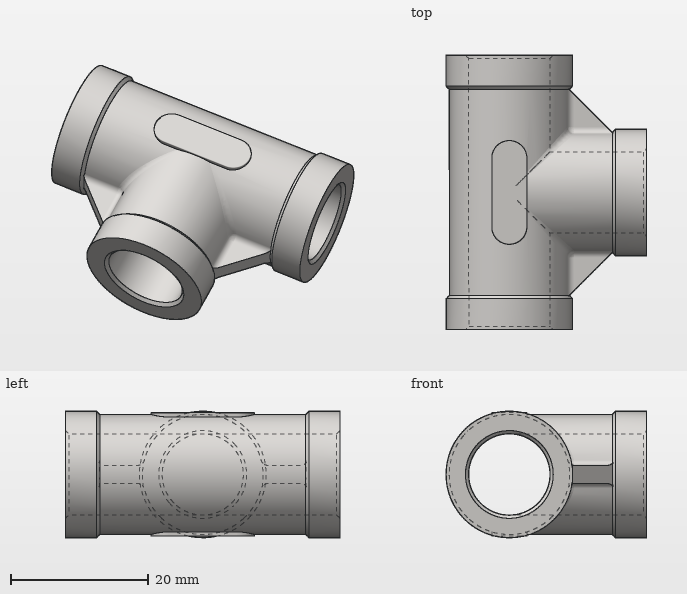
import cadquery as cq

half_length = 20.0
body_radius = 8.75
collar_radius = 9.25
collar_length = 5.0
bore_radius = 5.9
bore_chamfer = 0.5
web_thickness = 2.65
blend_radius = 1.0
plate_width = 5.1
plate_length = 15.1
plate_top = 9.0
plate_edge_radius = 0.1

shoulder = collar_radius - body_radius
collar_start = half_length - collar_length
web_reach = body_radius + collar_start

slice_margin = 0.05

ARM_ANGLES = (0, 90, -90)
CENTRE = (0, 0, 0)
Z_AXIS = (0, 0, 1)


def on_every_arm(shape):
    """Join copies of a shape modelled along +X, one for each arm of the tee."""
    joined = cq.Workplane("XY")
    for angle in ARM_ANGLES:
        joined = joined.union(shape.rotate(CENTRE, Z_AXIS, angle))
    return joined


def make_webs():
    """Flat webs filling both corners between run and branch, still untrimmed."""
    return cq.Workplane("XY").box(
        half_length, 2 * half_length, web_thickness, centered=(False, True, True)
    )


def make_label_plates():
    """Rounded-end plates standing slightly proud on the top and bottom of the run."""
    plates = cq.Workplane("XY").slot2D(plate_length, plate_width, 90).extrude(plate_top, both=True)
    return plates.faces("<Z or >Z").edges().fillet(plate_edge_radius)


def blend_edges(body):
    """Inner corner edges: branch against run, and the webs against both."""
    edges = body.edges("%ELLIPSE")
    for face_height in (-web_thickness / 2, web_thickness / 2):
        slice_low = (0, -collar_start, face_height - slice_margin)
        slice_high = (collar_start, collar_start, face_height + slice_margin)
        web_edges = body.edges(cq.selectors.BoxSelector(slice_low, slice_high))
        edges = edges.add(web_edges.edges("%LINE"))
    return edges


def make_web_trim():
    """Everything outside the 45 degree outer edges of the webs."""
    inner = web_reach - half_length
    corners = [(inner, half_length), (half_length, half_length), (half_length, inner)]
    trim = cq.Workplane("XY").polyline(corners).close().extrude(2 * collar_radius, both=True)
    return trim.union(trim.mirror("XZ"))


def make_collar():
    """End collar on +X with a 45 degree shoulder down to the body."""
    ring = cq.Workplane("YZ", origin=(collar_start, 0, 0)).circle(collar_radius).extrude(collar_length)
    return ring.faces("<X").chamfer(shoulder)


def make_bore():
    """Bore along +X, flared by a chamfer at its mouth."""
    profile = [
        (0, 0),
        (0, bore_radius),
        (half_length - bore_chamfer, bore_radius),
        (half_length, bore_radius + bore_chamfer),
        (half_length, 0),
    ]
    return cq.Workplane("XY").polyline(profile).close().revolve(360, CENTRE, (1, 0, 0))


arm = cq.Workplane("YZ").circle(body_radius).extrude(half_length)
body = on_every_arm(arm).union(make_label_plates()).union(make_webs())
body = blend_edges(body).fillet(blend_radius)

result = body.cut(make_web_trim()).union(on_every_arm(make_collar())).cut(on_every_arm(make_bore()))